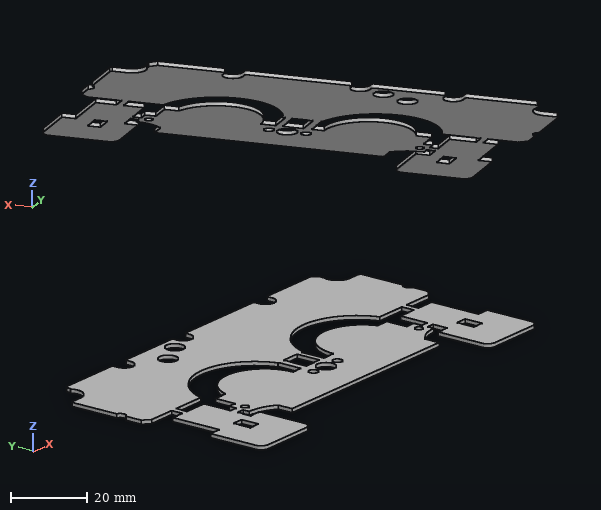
import cadquery as cq

LENGTH = 125.0
WIDTH = 69.5
THICKNESS = 1.2
LEFT = -LENGTH / 2
RIGHT = LENGTH / 2
TOP = WIDTH / 2
BOTTOM = -WIDTH / 2

MAIN_BOTTOM = 1.4
MAIN_CHAMFER_X = 2.1
MAIN_CHAMFER_Y = 1.9
LEFT_BITE_X = -58.2
LEFT_BITE_Y = 30.8
LEFT_BITE_RADIUS = 4.2
LEFT_POST_X = -54.2
LEFT_POST_Y = 32.8
LEFT_POST_CHAMFER = 0.8
RIGHT_BITE_X = 58.0
RIGHT_BITE_Y = 29.8
RIGHT_BITE_RADIUS = 4.0
RIGHT_POST_X = 54.4
RIGHT_POST_Y = 31.8
RIGHT_POST_CHAMFER = 1.8
SHOULDER_CHAMFER = 0.5
SIDE_NOTCH_Y = 9.9
SIDE_NOTCH_RADIUS = 1.6
SIDE_NOTCH_DEPTH = 1.1
TOP_NOTCH_WIDTH = 5.5
TOP_NOTCH_DEPTH = 4.6
MIDDLE_NOTCH_WIDTH = 5.4
MIDDLE_NOTCH_DEPTH = 4.2
NOTCH_MOUTH_RADIUS = 0.6
LEFT_NOTCH_X = -30.8
MIDDLE_NOTCH_X = -4.6
RIGHT_NOTCH_X = 30.9

ARCH_X = 22.2
ARCH_Y = -3.8
ARCH_RADIUS = 17.5
LOBE_Y = -6.1
LOBE_RADIUS = 12.5
LEFT_LOBE_X = -21.1
RIGHT_LOBE_X = 21.5

CENTRE_BOTTOM = -23.0
CENTRE_SHOULDER_X = 37.4
CENTRE_SHOULDER_Y = -2.1
ARCH_FLOOR = -6.0
STRUT_LEFT = -5.2
STRUT_RIGHT = 4.9
STRUT_WINDOW_WIDTH = 5.8
EAR_TOP = -8.6
EAR_BOTTOM = -15.2
LEFT_EAR_X = -40.0
RIGHT_EAR_X = 40.5
LEFT_SKIRT_X = -31.5
RIGHT_SKIRT_X = 32.6
SKIRT_TOP = -18.4

TAB_STEM_WIDTH = 13.6
TAB_FOOT_WIDTH = 21.4
TAB_CORNER_RADIUS = 2.5
LEFT_TAB_X = -49.1
RIGHT_TAB_X = 49.6
LEFT_STEM_TOP = -2.1
RIGHT_STEM_TOP = -2.5
LEFT_FOOT_TOP = -17.5
RIGHT_FOOT_TOP = -17.9
TAB_WINDOW_WIDTH = 3.5
TAB_WINDOW_TOP = -17.5
TAB_WINDOW_BOTTOM = -23.0
LEFT_TAB_WINDOW_X = -48.0
RIGHT_TAB_WINDOW_X = 49.5

LINK_WIDTH = 2.0
LEFT_NECK_X = -50.8
RIGHT_NECK_X = 49.6
LINK_BOTTOM = -13.2
LEFT_LINK_TOP = -11.0
RIGHT_LINK_TOP = -11.4

HOLES = [
    (-20.2, 26.4, 5.4),
    (-12.1, 30.2, 5.4),
    (0.1, -10.2, 5.5),
    (-5.1, -10.1, 2.8),
    (5.2, -10.1, 2.8),
    (-37.6, -12.1, 2.2),
    (38.1, -12.1, 2.2),
]


def block(x_min, x_max, y_min, y_max):
    """Rectangular piece of sheet between the given limits."""
    return cq.Workplane("XY").box(
        x_max - x_min, y_max - y_min, THICKNESS, centered=False
    ).translate((x_min, y_min, 0))


def disc(x, y, radius):
    """Round piece of sheet."""
    return cq.Workplane("XY").center(x, y).circle(radius).extrude(THICKNESS)


def top_notch(x, width, depth):
    """Round-ended slot open at the top edge, with a flared, rounded mouth."""
    half = width / 2
    flare = NOTCH_MOUTH_RADIUS
    return (
        cq.Workplane("XY")
        .moveTo(x - half - flare, TOP)
        .radiusArc((x - half, TOP - flare), flare)
        .lineTo(x - half, TOP - depth + half)
        .threePointArc((x, TOP - depth), (x + half, TOP - depth + half))
        .lineTo(x + half, TOP - flare)
        .radiusArc((x + half + flare, TOP), flare)
        .close()
        .extrude(THICKNESS)
    )


def corner_bite(side, x, y, radius, post_x, post_y, post_chamfer):
    """Cutter for a top corner: a round bite, open sideways and upwards.

    side is -1 (left) or 1 (right); (x, y) is the middle of the round bite;
    the top edge ends at post_x and its end face reaches down to post_y.
    """
    end = side * LENGTH / 2
    floor = y - radius
    outline = [
        (post_x - side * post_chamfer, TOP),
        (post_x, TOP - post_chamfer),
        (post_x, post_y),
        (x, post_y),
        (x, floor),
        (end - side * SHOULDER_CHAMFER, floor),
        (end, floor - SHOULDER_CHAMFER),
        (end, TOP),
    ]
    opening = cq.Workplane("XY").polyline(outline).close().extrude(THICKNESS)
    return opening.union(disc(x, y, radius))


def main_plate():
    """Upper plate with bitten corners, edge notches and arched openings."""
    outline = [
        (LEFT + MAIN_CHAMFER_X, MAIN_BOTTOM),
        (RIGHT - MAIN_CHAMFER_X, MAIN_BOTTOM),
        (RIGHT, MAIN_BOTTOM + MAIN_CHAMFER_Y),
        (RIGHT, TOP),
        (LEFT, TOP),
        (LEFT, MAIN_BOTTOM + MAIN_CHAMFER_Y),
    ]
    plate = cq.Workplane("XY").polyline(outline).close().extrude(THICKNESS)
    left_bite = corner_bite(
        -1, LEFT_BITE_X, LEFT_BITE_Y, LEFT_BITE_RADIUS, LEFT_POST_X, LEFT_POST_Y, LEFT_POST_CHAMFER
    )
    right_bite = corner_bite(
        1, RIGHT_BITE_X, RIGHT_BITE_Y, RIGHT_BITE_RADIUS, RIGHT_POST_X, RIGHT_POST_Y, RIGHT_POST_CHAMFER
    )
    plate = plate.cut(left_bite).cut(right_bite)
    for x in (LEFT_NOTCH_X, RIGHT_NOTCH_X):
        plate = plate.cut(top_notch(x, TOP_NOTCH_WIDTH, TOP_NOTCH_DEPTH))
    plate = plate.cut(top_notch(MIDDLE_NOTCH_X, MIDDLE_NOTCH_WIDTH, MIDDLE_NOTCH_DEPTH))
    for side in (-1, 1):
        notch_x = side * (LENGTH / 2 + SIDE_NOTCH_RADIUS - SIDE_NOTCH_DEPTH)
        plate = plate.cut(disc(notch_x, SIDE_NOTCH_Y, SIDE_NOTCH_RADIUS))
        plate = plate.cut(disc(side * ARCH_X, ARCH_Y, ARCH_RADIUS))
    return plate


def skirt_radius(ear_x, skirt_x):
    """Radius of the arc that leaves the ear level and drops to the skirt."""
    run = abs(ear_x - skirt_x)
    drop = EAR_BOTTOM - SKIRT_TOP
    return (run**2 + drop**2) / (2 * drop)


def centre_plate():
    """Lower plate with side ears, round lobes and the windowed strut."""
    plate = (
        cq.Workplane("XY")
        .moveTo(LEFT_SKIRT_X, CENTRE_BOTTOM)
        .lineTo(RIGHT_SKIRT_X, CENTRE_BOTTOM)
        .lineTo(RIGHT_SKIRT_X, SKIRT_TOP)
        .radiusArc((RIGHT_EAR_X, EAR_BOTTOM), skirt_radius(RIGHT_EAR_X, RIGHT_SKIRT_X))
        .lineTo(RIGHT_EAR_X, EAR_TOP)
        .lineTo(CENTRE_SHOULDER_X, EAR_TOP)
        .lineTo(CENTRE_SHOULDER_X, ARCH_FLOOR)
        .lineTo(-CENTRE_SHOULDER_X, ARCH_FLOOR)
        .lineTo(-CENTRE_SHOULDER_X, EAR_TOP)
        .lineTo(LEFT_EAR_X, EAR_TOP)
        .lineTo(LEFT_EAR_X, EAR_BOTTOM)
        .radiusArc((LEFT_SKIRT_X, SKIRT_TOP), skirt_radius(LEFT_EAR_X, LEFT_SKIRT_X))
        .close()
        .extrude(THICKNESS)
    )
    plate = plate.union(block(-CENTRE_SHOULDER_X, LEFT_LOBE_X, ARCH_FLOOR, CENTRE_SHOULDER_Y))
    plate = plate.union(block(RIGHT_LOBE_X, CENTRE_SHOULDER_X, ARCH_FLOOR, CENTRE_SHOULDER_Y))
    for x in (LEFT_LOBE_X, RIGHT_LOBE_X):
        plate = plate.union(disc(x, LOBE_Y, LOBE_RADIUS))
    strut = block(STRUT_LEFT, STRUT_RIGHT, ARCH_FLOOR, MAIN_BOTTOM)
    half_window = STRUT_WINDOW_WIDTH / 2
    window = block(-half_window, half_window, ARCH_FLOOR, MAIN_BOTTOM)
    return plate.union(strut.cut(window))


def side_tab(x, stem_top, foot_top, window_x, neck_x):
    """T-shaped tab with a rectangular window, hung from the main plate by a neck."""
    half_stem = TAB_STEM_WIDTH / 2
    half_foot = TAB_FOOT_WIDTH / 2
    half_window = TAB_WINDOW_WIDTH / 2
    half_neck = LINK_WIDTH / 2
    foot = block(x - half_foot, x + half_foot, BOTTOM, foot_top)
    foot = foot.edges("|Z and <Y").fillet(TAB_CORNER_RADIUS)
    stem = block(x - half_stem, x + half_stem, foot_top, stem_top)
    neck = block(neck_x - half_neck, neck_x + half_neck, stem_top, MAIN_BOTTOM)
    window = block(window_x - half_window, window_x + half_window, TAB_WINDOW_BOTTOM, TAB_WINDOW_TOP)
    return foot.union(stem).union(neck).cut(window)


def ear_links():
    """Short bridges between the centre plate's ears and the tab stems."""
    half_stem = TAB_STEM_WIDTH / 2
    left = block(LEFT_TAB_X + half_stem, LEFT_EAR_X, LINK_BOTTOM, LEFT_LINK_TOP)
    right = block(RIGHT_EAR_X, RIGHT_TAB_X - half_stem, LINK_BOTTOM, RIGHT_LINK_TOP)
    return left.union(right)


left_tab = side_tab(LEFT_TAB_X, LEFT_STEM_TOP, LEFT_FOOT_TOP, LEFT_TAB_WINDOW_X, LEFT_NECK_X)
right_tab = side_tab(RIGHT_TAB_X, RIGHT_STEM_TOP, RIGHT_FOOT_TOP, RIGHT_TAB_WINDOW_X, RIGHT_NECK_X)

result = main_plate().union(centre_plate()).union(left_tab).union(right_tab).union(ear_links())
for hole_x, hole_y, diameter in HOLES:
    result = result.cut(disc(hole_x, hole_y, diameter / 2))